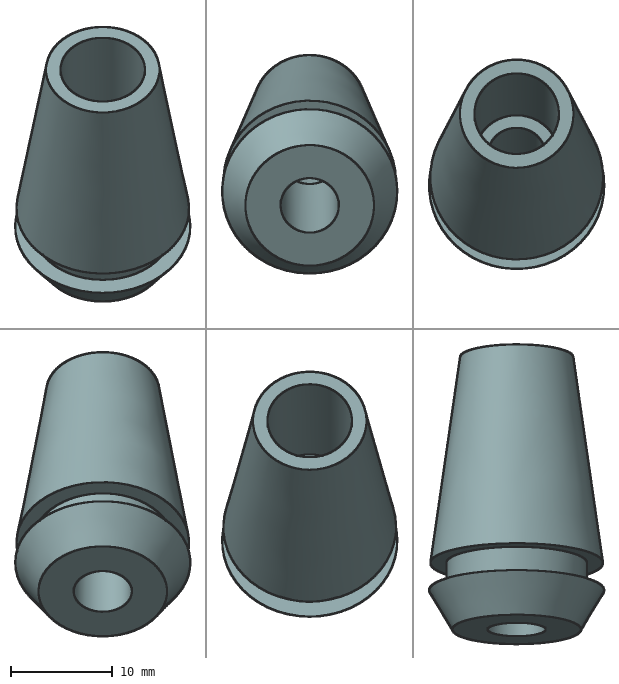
import cadquery as cq

height = 27.5

nose_bottom_radius = 6.32
nose_top_radius = 17.25 / 2
nose_top_z = 3.95

groove_radius = 6.93
groove_top_z = 6.7

body_bottom_radius = 8.5
body_top_radius = 5.58

narrow_bore_radius = 2.85
wide_bore_radius = 4.15
wide_bore_depth = height / 2


def revolved_body():
    """Outer shape, revolved from its half section in the XZ plane."""
    return (
        cq.Workplane("XZ")
        .moveTo(0, 0)
        .lineTo(nose_bottom_radius, 0)
        .lineTo(nose_top_radius, nose_top_z)
        .lineTo(groove_radius, nose_top_z)
        .lineTo(groove_radius, groove_top_z)
        .lineTo(body_bottom_radius, groove_top_z)
        .lineTo(body_top_radius, height)
        .lineTo(0, height)
        .close()
        .revolve(360, (0, 0, 0), (0, 1, 0))
    )


def cut_stepped_bore(body):
    """Through bore, counterbored from the top face."""
    return body.faces(">Z").workplane().cboreHole(
        2 * narrow_bore_radius, 2 * wide_bore_radius, wide_bore_depth
    )


result = cut_stepped_bore(revolved_body())